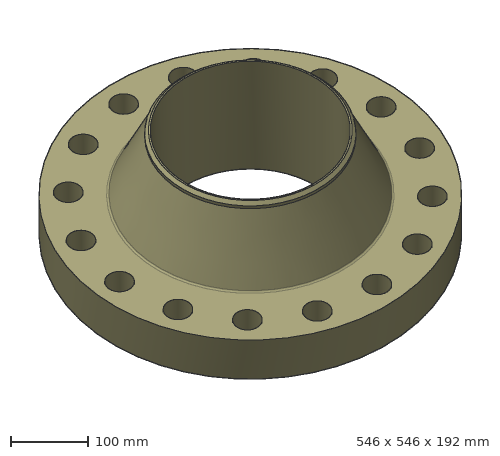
import cadquery as cq
import math

flange_diameter = 546.0
flange_thickness = 70.0

face_diameter = 362.0
face_height = 8.0

overall_height = 192.0
hub_base_diameter = 367.0
hub_root_radius = 3.5
pipe_diameter = 273.0
neck_height = 5.0
bevel_height = 5.0
bevel_width = 5.0
bore_diameter = 258.0

bolt_count = 16
bolt_circle_diameter = 470.0
bolt_hole_diameter = 38.0

flange_top = face_height + flange_thickness
bevel_bottom = overall_height - bevel_height
neck_bottom = bevel_bottom - neck_height

flange_radius = flange_diameter / 2
face_radius = face_diameter / 2
hub_base_radius = hub_base_diameter / 2
pipe_radius = pipe_diameter / 2
bore_radius = bore_diameter / 2

taper_angle = math.atan2(neck_bottom - flange_top, hub_base_radius - pipe_radius)
root_tangent_length = hub_root_radius * math.tan(taper_angle / 2)
root_outer_radius = hub_base_radius + root_tangent_length
root_inner_radius = hub_base_radius - root_tangent_length * math.cos(taper_angle)
root_top = flange_top + root_tangent_length * math.sin(taper_angle)


def flange_body():
    """Revolve the half section of raised face, plate, hub and bore about Z."""
    section = (
        cq.Workplane("XZ")
        .moveTo(bore_radius, 0)
        .lineTo(face_radius, 0)
        .lineTo(face_radius, face_height)
        .lineTo(flange_radius, face_height)
        .lineTo(flange_radius, flange_top)
        .lineTo(root_outer_radius, flange_top)
        .tangentArcPoint((root_inner_radius, root_top), relative=False)
        .lineTo(pipe_radius, neck_bottom)
        .lineTo(pipe_radius, bevel_bottom)
        .lineTo(pipe_radius - bevel_width, overall_height)
        .lineTo(bore_radius, overall_height)
        .close()
    )
    return section.revolve(360, (0, 0, 0), (0, 1, 0))


def bolt_holes():
    """Cylinders on the bolt circle that pass right through the plate."""
    return (
        cq.Workplane("XY")
        .workplane(offset=face_height)
        .polarArray(bolt_circle_diameter / 2, 0, 360, bolt_count)
        .circle(bolt_hole_diameter / 2)
        .extrude(flange_thickness)
    )


result = flange_body().cut(bolt_holes())